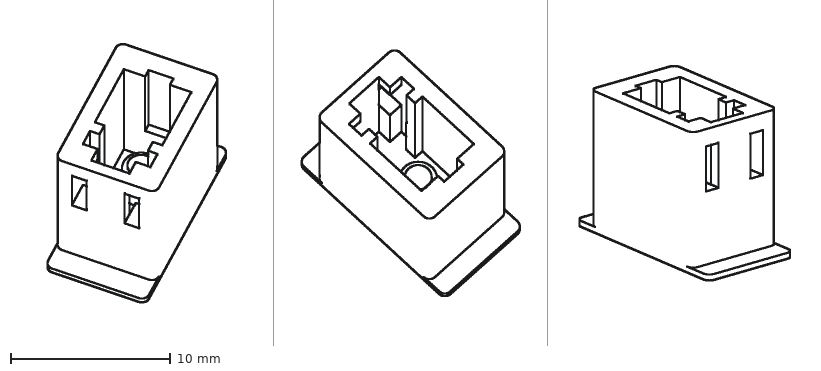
import cadquery as cq

width = 6.9
flange_length = 13.1
flange_thickness = 0.4
height = 9.5
corner_radius = 0.5
body_back = 5.16
body_front = -4.95

floor_height = 1.31
cavity_width = 4.61
cavity_back = 3.3
cavity_front = -3.18
back_notch_width = 1.69
back_notch_end = 3.85
back_notch_floor = 3.93
front_notch_width = 2.61
front_notch_end = -4.18

rib_gap = 3.31
rib_back = -1.3
rib_front = -2.06
rib_foot_front = -2.1

window_inner_x = 1.3
window_outer_x = cavity_width / 2
window_bottom = 5.32
window_top = 8.33

sleeve_y = 0.67
sleeve_diameter = 2.4
bore_diameter = 1.7
sleeve_height = 2.62
sleeve_rounding = 0.33


def block(x_min, x_max, y_min, y_max, z_min, z_max):
    """Axis-aligned box given by its limits."""
    size = (x_max - x_min, y_max - y_min, z_max - z_min)
    return cq.Workplane("XY").box(*size, centered=False).translate((x_min, y_min, z_min))


def centred_block(block_width, y_min, y_max, z_min, z_max):
    """Box that is symmetric about the YZ plane."""
    return block(-block_width / 2, block_width / 2, y_min, y_max, z_min, z_max)


def make_housing():
    flange = centred_block(width, -flange_length / 2, flange_length / 2, 0, flange_thickness)
    body = centred_block(width, body_front, body_back, 0, height)
    return flange.edges("|Z").fillet(corner_radius).union(body.edges("|Z").fillet(corner_radius))


def make_cavity():
    cavity = centred_block(cavity_width, cavity_front, cavity_back, floor_height, height)
    back_notch = centred_block(back_notch_width, cavity_back, back_notch_end, back_notch_floor, height)
    front_notch = centred_block(front_notch_width, front_notch_end, cavity_front, floor_height, height)
    cavity = cavity.union(back_notch).union(front_notch)
    for side in (-1, 1):
        x_limits = sorted((side * rib_gap / 2, side * cavity_width / 2))
        cavity = cavity.cut(block(*x_limits, rib_front, rib_back, floor_height, height))
        cavity = cavity.cut(block(*x_limits, rib_foot_front, rib_back, floor_height, window_bottom))
    return cavity


def make_windows():
    windows = cq.Workplane("XY")
    for side in (-1, 1):
        x_limits = sorted((side * window_inner_x, side * window_outer_x))
        windows = windows.add(block(*x_limits, body_front, rib_front, window_bottom, window_top))
    return windows.combine()


def make_sleeve():
    sleeve = (
        cq.Workplane("XY", origin=(0, sleeve_y, floor_height))
        .circle(sleeve_diameter / 2)
        .extrude(sleeve_height)
    )
    return sleeve.faces(">Z").edges().fillet(sleeve_rounding)


bore = cq.Workplane("XY").center(0, sleeve_y).circle(bore_diameter / 2).extrude(height)
housing = make_housing().cut(make_cavity()).cut(make_windows())
result = housing.union(make_sleeve()).cut(bore)